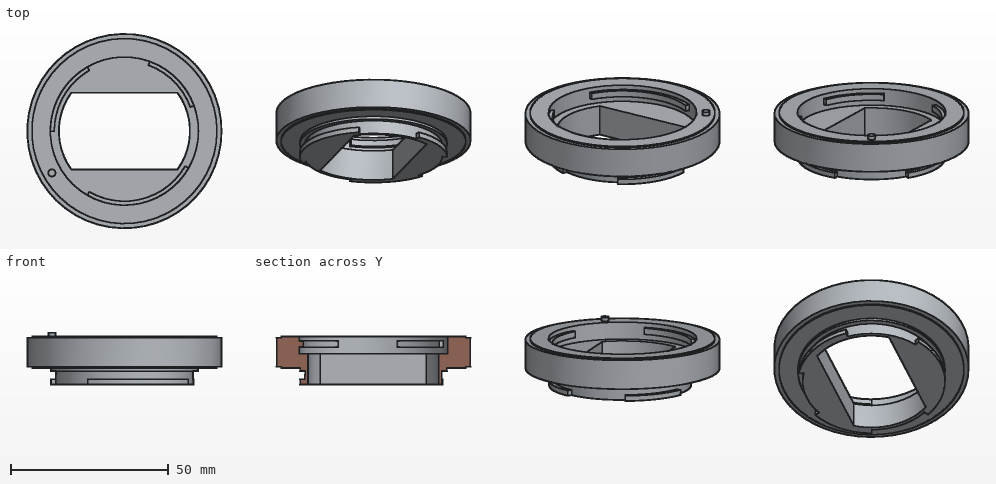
import cadquery as cq
import math

BODY_DIAMETER = 61.7
RIM_DIAMETER = 58.7
SHOULDER_DIAMETER = 46.7
NECK_DIAMETER = 43.6
BORE_DIAMETER = 47.0
INNER_TAB_DIAMETER = 44.5
OPENING_DIAMETER = 41.5
PIN_DIAMETER = 2.3

SHOULDER_BOTTOM = 4.3
SHOULDER_HEIGHT = 0.9
RIM_HEIGHT = 0.4
BODY_HEIGHT = 9.3
TOTAL_HEIGHT = 16.5
RIM_BOTTOM = SHOULDER_BOTTOM + SHOULDER_HEIGHT
TOP_FACE = RIM_BOTTOM + BODY_HEIGHT + 2 * RIM_HEIGHT

BORE_DEPTH = 5.5
OPENING_WIDTH = 24.3

TAB_SPANS = [(20, 70), (120, 180), (240, 330)]
OUTER_TAB_HEIGHT = 1.7
INNER_TAB_HEIGHT = 2.0
INNER_TAB_RECESS = 1.45
INNER_TAB_BOTTOM = TOP_FACE - INNER_TAB_RECESS - INNER_TAB_HEIGHT

PIN_CIRCLE_RADIUS = 26.55
PIN_ANGLE = 210

ROOT_OVERLAP = 0.5


def disc(diameter, bottom, height):
    """Upright cylinder centred on the Z axis."""
    return cq.Workplane("XY").workplane(offset=bottom).circle(diameter / 2).extrude(height)


def polar(radius, angle):
    """XY point at a radius and an angle in degrees."""
    turn = math.radians(angle)
    return radius * math.cos(turn), radius * math.sin(turn)


def arc_tab(inner_radius, outer_radius, span, bottom, height):
    """Ring segment with radial ends."""
    start, end = span
    middle = (start + end) / 2
    return (
        cq.Workplane("XY")
        .workplane(offset=bottom)
        .moveTo(*polar(inner_radius, start))
        .lineTo(*polar(outer_radius, start))
        .threePointArc(polar(outer_radius, middle), polar(outer_radius, end))
        .lineTo(*polar(inner_radius, end))
        .threePointArc(polar(inner_radius, middle), polar(inner_radius, start))
        .close()
        .extrude(height)
    )


def stepped_body():
    """Neck, shoulder, and wide body with a narrower rim above and below it."""
    neck = disc(NECK_DIAMETER, 0, RIM_BOTTOM)
    shoulder = disc(SHOULDER_DIAMETER, SHOULDER_BOTTOM, SHOULDER_HEIGHT)
    rims = disc(RIM_DIAMETER, RIM_BOTTOM, BODY_HEIGHT + 2 * RIM_HEIGHT)
    body = disc(BODY_DIAMETER, RIM_BOTTOM + RIM_HEIGHT, BODY_HEIGHT)
    return neck.union(shoulder).union(rims).union(body)


def opening():
    """Round through opening with flats facing +Y and -Y."""
    slab = cq.Workplane("XY").box(
        BODY_DIAMETER, OPENING_WIDTH, TOTAL_HEIGHT, centered=(True, True, False)
    )
    return disc(OPENING_DIAMETER, 0, TOTAL_HEIGHT).intersect(slab)


def outer_tab(span):
    """Bayonet tab outside the neck, flush with its lower face."""
    root_radius = NECK_DIAMETER / 2 - ROOT_OVERLAP
    return arc_tab(root_radius, SHOULDER_DIAMETER / 2, span, 0, OUTER_TAB_HEIGHT)


def inner_tab(span):
    """Bayonet tab on the bore wall, between the top face and the bore floor."""
    root_radius = BORE_DIAMETER / 2 + ROOT_OVERLAP
    return arc_tab(INNER_TAB_DIAMETER / 2, root_radius, span, INNER_TAB_BOTTOM, INNER_TAB_HEIGHT)


def locating_pin():
    """Round pin standing on the top face."""
    pin = disc(PIN_DIAMETER, TOP_FACE - ROOT_OVERLAP, TOTAL_HEIGHT - TOP_FACE + ROOT_OVERLAP)
    x, y = polar(PIN_CIRCLE_RADIUS, PIN_ANGLE)
    return pin.translate((x, y, 0))


result = stepped_body()
result = result.cut(disc(BORE_DIAMETER, TOP_FACE - BORE_DEPTH, BORE_DEPTH))
result = result.cut(opening())
for tab_span in TAB_SPANS:
    result = result.union(outer_tab(tab_span)).union(inner_tab(tab_span))
result = result.union(locating_pin())